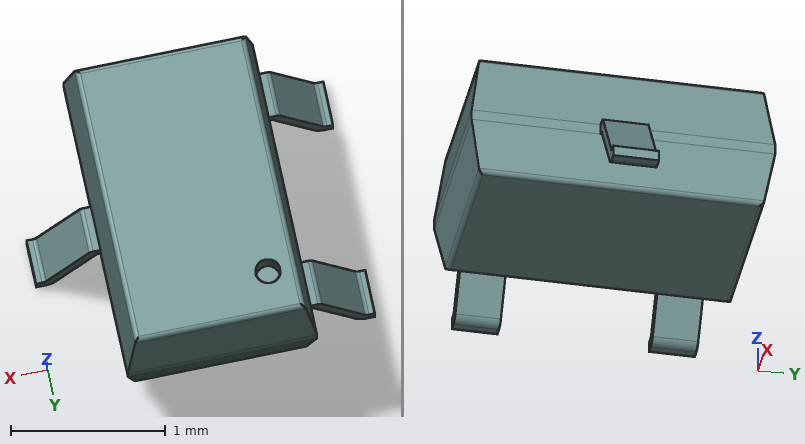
import cadquery as cq
import math

body_width = 1.25
body_length = 2.0
body_bottom = 0.1
body_top = 1.0
upper_draft = 8.0
lower_draft = 10.0
rim_fillet = 0.033

lead_span = 2.1
lead_width = 0.3
lead_thickness = 0.075
lead_slope = 57.0
upper_bend_radius = 0.033
lower_bend_radius = 0.08
foot_length = 0.057
lead_pitch = 1.3

band_top = 0.54
band_bottom = band_top - lead_thickness

mark_diameter = 0.16
mark_depth = 0.15
mark_inset = 0.25
mark_x = mark_inset - body_width / 2
mark_y = lead_pitch / 2


def tapered_half(start_height, height, draft):
    """Half of the body, narrowing away from the band; a negative height points down."""
    return (
        cq.Workplane("XY", origin=(0, 0, start_height))
        .rect(body_width, body_length)
        .extrude(height, taper=draft)
    )


def make_body():
    band = (
        cq.Workplane("XY", origin=(0, 0, band_bottom))
        .rect(body_width, body_length)
        .extrude(lead_thickness)
    )
    upper = tapered_half(band_top, body_top - band_top, upper_draft)
    lower = tapered_half(band_bottom, body_bottom - band_bottom, lower_draft)
    block = band.union(upper).union(lower)
    block = block.faces(">Z or <Z").edges().fillet(rim_fillet)
    mark = (
        cq.Workplane("XY", origin=(mark_x, mark_y, body_top - mark_depth))
        .circle(mark_diameter / 2)
        .extrude(mark_depth)
    )
    return block.cut(mark)


def make_lead(side, y):
    """Gull-wing lead on the -X side (side = -1) or the +X side (side = 1), centred on y."""
    slope = math.radians(lead_slope)
    root_x = body_width / 2
    toe_x = lead_span / 2

    foot_upper = (toe_x - foot_length, lead_thickness)
    knee_upper = (foot_upper[0] - (band_top - lead_thickness) / math.tan(slope), band_top)

    corner_shift = lead_thickness * math.tan(slope / 2)
    foot_lower = (foot_upper[0] - corner_shift, 0)
    knee_lower = (knee_upper[0] - corner_shift, band_bottom)

    outline = [
        (root_x, band_top),
        knee_upper,
        foot_upper,
        (toe_x, lead_thickness),
        (toe_x, 0),
        foot_lower,
        knee_lower,
        (root_x, band_bottom),
    ]
    lead = (
        cq.Workplane("XZ", origin=(0, y, 0))
        .polyline(outline)
        .close()
        .extrude(lead_width / 2, both=True)
    )

    bends = [
        (knee_upper, upper_bend_radius),
        (foot_upper, upper_bend_radius),
        (foot_lower, lower_bend_radius),
    ]
    for (corner_x, corner_z), radius in bends:
        bend_edge = cq.selectors.NearestToPointSelector((corner_x, y, corner_z))
        lead = lead.edges("|Y").edges(bend_edge).fillet(radius)

    if side < 0:
        lead = lead.mirror("YZ")
    return lead


lead_places = [(-1, lead_pitch / 2), (-1, -lead_pitch / 2), (1, 0)]

body = make_body()
leads = [make_lead(side, y) for side, y in lead_places]

result = cq.Compound.makeCompound([body.val(), *[lead.val() for lead in leads]])